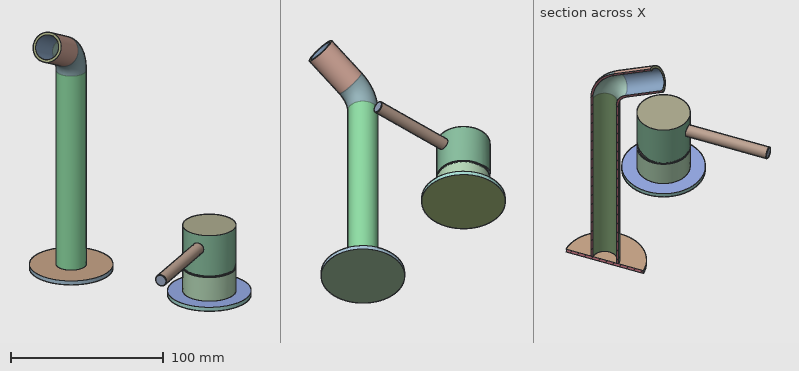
import cadquery as cq
import math

plate_diameter = 55.0
plate_thickness = 3.0
valve_x = 100.0

total_height = 182.0
tube_diameter = 20.0
bore_diameter = 16.4
riser_top = 141.9
bend_radius = 20.0
bend_angle = 63.0

valve_diameter = 35.1
base_top = 19.8
ball_radius = 16.7

handle_bottom = 20.7
handle_top = 49.8
tilt_clearance_angle = 15.0

lever_diameter = 8.0
lever_height = 39.8
lever_reach = 74.5
lever_chamfer = 0.4


def make_plate(center_x):
    return cq.Workplane("XY").center(center_x, 0).circle(plate_diameter / 2).extrude(plate_thickness)


def make_spout():
    """Hollow tube swept along the riser, bend and outlet, open at both ends."""
    angle = math.radians(bend_angle)
    half_angle = angle / 2

    def bend_point(turn):
        return (-bend_radius * (1 - math.cos(turn)), riser_top + bend_radius * math.sin(turn))

    bend_end = bend_point(angle)
    outlet_z = total_height - tube_diameter / 2 * math.sin(angle)
    outlet_run = (outlet_z - bend_end[1]) * math.tan(angle)
    outlet_end = (bend_end[0] - outlet_run, outlet_z)

    path = (
        cq.Workplane("YZ")
        .moveTo(0, plate_thickness)
        .lineTo(0, riser_top)
        .threePointArc(bend_point(half_angle), bend_end)
        .lineTo(*outlet_end)
    )
    section = cq.Workplane("XY", origin=(0, 0, plate_thickness))
    return section.circle(tube_diameter / 2).circle(bore_diameter / 2).sweep(path)


def make_ball():
    """Ball of the tilting joint, centred on the handle's lower face."""
    return cq.Workplane("XY", origin=(valve_x, 0, handle_bottom)).sphere(ball_radius)


def make_valve_base():
    """Cylinder, short neck across the gap, and the upper half of the ball."""
    base = (
        cq.Workplane("XY", origin=(valve_x, 0, plate_thickness))
        .circle(valve_diameter / 2)
        .extrude(base_top - plate_thickness)
    )
    neck = (
        cq.Workplane("XY", origin=(valve_x, 0, base_top))
        .circle(ball_radius)
        .extrude(handle_bottom - base_top)
    )
    dome_space = (
        cq.Workplane("XY", origin=(valve_x, 0, handle_bottom))
        .circle(valve_diameter / 2)
        .extrude(ball_radius)
    )
    return base.union(neck).union(make_ball().intersect(dome_space))


def make_tilt_clearance():
    """Wedge under the rear half of the handle, rising from its axis towards +Y."""
    run = valve_diameter
    rise = run * math.tan(math.radians(tilt_clearance_angle))
    return (
        cq.Workplane("YZ", origin=(valve_x, 0, handle_bottom))
        .polyline([(0, 0), (run, 0), (run, rise)])
        .close()
        .extrude(valve_diameter, both=True)
    )


def make_handle():
    """Cap with its ball socket and rear clearance, and the lever towards -Y."""
    cap = (
        cq.Workplane("XY", origin=(valve_x, 0, handle_bottom))
        .circle(valve_diameter / 2)
        .extrude(handle_top - handle_bottom)
    )
    lever = (
        cq.Workplane("XZ", origin=(valve_x, 0, lever_height))
        .circle(lever_diameter / 2)
        .extrude(lever_reach)
        .faces("<Y")
        .chamfer(lever_chamfer)
    )
    return cap.union(lever).cut(make_ball()).cut(make_tilt_clearance())


plates = [make_plate(center_x) for center_x in (0, valve_x)]
spout = make_spout()
valve_base = make_valve_base()
handle = make_handle()

result = cq.Compound.makeCompound(
    [*[plate.val() for plate in plates], spout.val(), valve_base.val(), handle.val()]
)